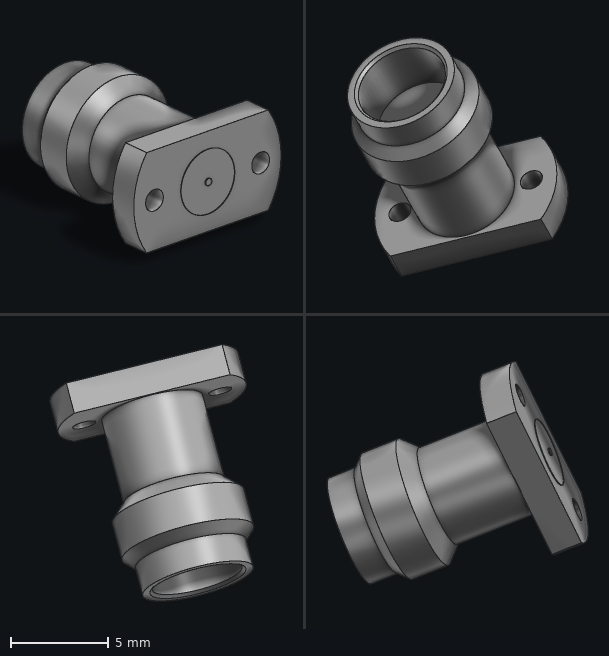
import cadquery as cq

nose_end = 1.51
collar_start = 2.09
collar_end = 4.11
barrel_start = 4.94
flange_start = 9.48
flange_end = 11.15
rear_boss_end = 11.18
pin_end = 11.25

nose_radius = 2.94
collar_radius = 3.5
barrel_radius = 2.68
rear_boss_radius = 1.82
pin_radius = 0.2

mouth_radius = 2.54
bore_radius = 2.38
bore_depth = 3.04

flange_diameter = 10.0
flange_height = 5.65
hole_diameter = 1.2
hole_spacing = 7.2


def cylinder_x(start, end, radius):
    """Solid cylinder on the X axis between two positions."""
    return cq.Workplane("YZ", origin=(start, 0, 0)).circle(radius).extrude(end - start)


def turned_body():
    """Nose, collar with tapered shoulders, and barrel."""
    return (
        cq.Workplane("XY")
        .moveTo(0, 0)
        .lineTo(0, nose_radius)
        .lineTo(nose_end, nose_radius)
        .lineTo(collar_start, collar_radius)
        .lineTo(collar_end, collar_radius)
        .lineTo(barrel_start, barrel_radius)
        .lineTo(flange_start, barrel_radius)
        .lineTo(flange_start, 0)
        .close()
        .revolve(360, (0, 0, 0), (1, 0, 0))
    )


def bore():
    """Blind bore with a 45 degree chamfer at its mouth."""
    chamfer = mouth_radius - bore_radius
    return (
        cq.Workplane("XY")
        .moveTo(0, 0)
        .lineTo(0, mouth_radius)
        .lineTo(chamfer, bore_radius)
        .lineTo(bore_depth, bore_radius)
        .lineTo(bore_depth, 0)
        .close()
        .revolve(360, (0, 0, 0), (1, 0, 0))
    )


def flange():
    """Flat-sided disc with two mounting holes."""
    thickness = flange_end - flange_start
    disc = cylinder_x(flange_start, flange_end, flange_diameter / 2)
    band = (
        cq.Workplane("YZ", origin=(flange_start, 0, 0))
        .rect(flange_diameter, flange_height)
        .extrude(thickness)
    )
    holes = (
        cq.Workplane("YZ", origin=(flange_start, 0, 0))
        .pushPoints([(-hole_spacing / 2, 0), (hole_spacing / 2, 0)])
        .circle(hole_diameter / 2)
        .extrude(thickness)
    )
    return disc.intersect(band).cut(holes)


rear_boss = cylinder_x(flange_end, rear_boss_end, rear_boss_radius)
pin = cylinder_x(rear_boss_end, pin_end, pin_radius)

result = turned_body().union(flange()).union(rear_boss).union(pin).cut(bore())